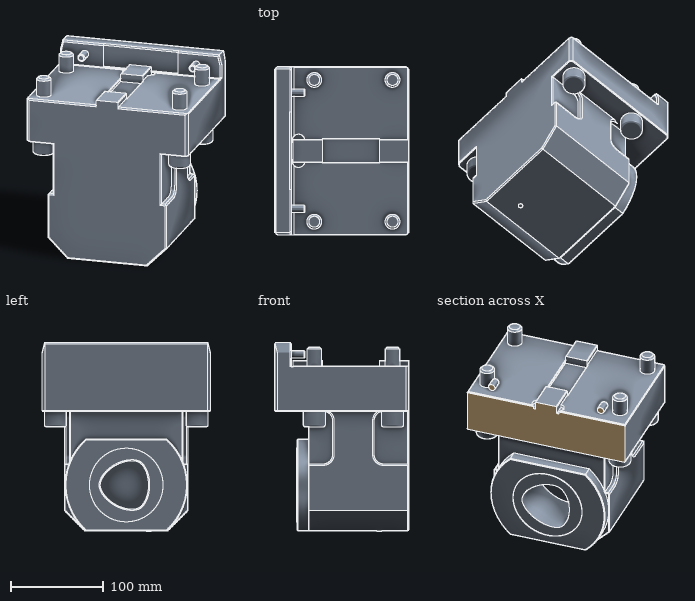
import cadquery as cq
import math

overall_height = 205.2

plate_length = 146.0
plate_width = 183.0
plate_bottom = 80.0
deck_height = 129.3
lip_top = 155.0
lip_thickness = 18.3
plate_corner_chamfer = 3.0
plate_edge_chamfer = 0.8
deck_end_chamfer = 1.6
lip_end_inset = 2.9
lip_end_drop = 11.5
lip_edge_chamfer = 1.6

relief_width = 3.0
relief_depth = 0.6

lip_recess_width = 84.5
lip_recess_depth = 1.5
lip_recess_chamfer = 0.8

key_width = 25.0
key_top = 135.0
key_length = 32.2
key_inner_edges = (52.1, 113.7)
key_chamfer = 0.6
slot_width = 25.5
slot_depth = 3.3
slot_chamfer = 0.6
corner_relief_radius = 6.8
corner_relief_x = 26.0
corner_relief_y = 11.3

screw_mid_x = 85.5
screw_spacing_x = 85.0
screw_spacing_y = 154.0
shank_diameter = 16.0
shank_top = 149.6
shank_chamfer = 2.0
head_diameter = 24.0
head_bottom = 63.0
head_fillet = 2.5
pin_diameter = 8.0
pin_spacing = 126.2
pin_height = 141.8
pin_end = 33.0
pin_chamfer = 1.0

housing_front = 36.7
housing_half_width = 67.1
housing_bottom = -49.9
housing_corner_chamfer = 22.0
housing_front_chamfer = 0.8
housing_rear_chamfer = 1.5
pocket_depth = 5.5
pocket_bottom = 23.0
pocket_radius = 10.0
pocket_gap = 45.2
pocket_chamfer = 1.6
pocket_chamfer_angle = 45
plug_diameter = 5.0
plug_x = 113.7
plug_y = -24.2
plug_bottom = lip_top - overall_height

flange_face = 24.6
flange_radius = 66.3
flange_edge_chamfer = 0.8
ring_face = 24.0
ring_diameter = 80.0
bore_mean_radius = 27.5
bore_lobe_height = 2.0
bore_depth = 49.3
bore_shrink = 1.2
bore_curve_points = 24

deck_mid_height = (plate_bottom + deck_height) / 2
screw_points = [
    (screw_mid_x + sx * screw_spacing_x / 2, sy * screw_spacing_y / 2)
    for sx in (-1, 1)
    for sy in (-1, 1)
]


def block(x_range, y_range, z_range):
    """Box spanning the given (low, high) limits on each axis."""
    lows = (x_range[0], y_range[0], z_range[0])
    sizes = [high - low for low, high in (x_range, y_range, z_range)]
    return cq.Workplane("XY").box(*sizes, centered=False).translate(lows)


def centred(width):
    """Limits of a span of this width about zero."""
    return (-width / 2, width / 2)


def cylinder_z(diameter, x, y, bottom, top):
    """Upright cylinder at (x, y)."""
    base = cq.Workplane("XY", origin=(x, y, bottom))
    return base.circle(diameter / 2).extrude(top - bottom)


def nearest_face(part, point):
    """The face of the part whose centre lies nearest to the point."""
    return part.faces(cq.selectors.NearestToPointSelector(point))


def make_plate():
    """L-shaped plate: a thick deck with a raised lip along its -X edge."""
    plate = block((0, plate_length), centred(plate_width), (plate_bottom, lip_top))
    plate = plate.edges("|Z").chamfer(plate_corner_chamfer)
    plate = plate.faces("<Z").edges().chamfer(plate_edge_chamfer)

    half_width = plate_width / 2
    for side in (-1, 1):
        bevel = (
            cq.Workplane("YZ")
            .moveTo(side * half_width, lip_top)
            .lineTo(side * (half_width - lip_end_inset), lip_top)
            .lineTo(side * half_width, lip_top - lip_end_drop)
            .close()
            .extrude(plate_length)
        )
        plate = plate.cut(bevel)

    plate = plate.cut(
        block((lip_thickness, plate_length), centred(plate_width), (deck_height, lip_top))
    )
    plate = plate.faces(">Z").edges("<X").chamfer(lip_edge_chamfer)

    lip_face = nearest_face(plate, (lip_thickness, 0, lip_top - lip_end_drop))
    plate = lip_face.edges("not <Z").chamfer(lip_edge_chamfer)

    deck_centre = (screw_mid_x, 0, deck_height)
    plate = nearest_face(plate, deck_centre).edges("|X").chamfer(plate_edge_chamfer)
    return nearest_face(plate, deck_centre).edges(">X").chamfer(deck_end_chamfer)


def cut_lip_reliefs(plate):
    """Shallow groove at the foot of the lip and recess in its inner face."""
    relief_floor = deck_height - relief_depth
    groove = block(
        (lip_thickness, lip_thickness + relief_width),
        centred(plate_width),
        (relief_floor, deck_height),
    )
    recess_face = lip_thickness - lip_recess_depth
    recess_profile = (
        cq.Workplane("XZ", origin=(0, lip_recess_width / 2, 0))
        .moveTo(lip_thickness, deck_height)
        .lineTo(recess_face, deck_height)
        .lineTo(recess_face, lip_top - lip_edge_chamfer)
        .lineTo(recess_face - lip_recess_chamfer, lip_top)
        .lineTo(lip_thickness, lip_top)
        .close()
        .extrude(lip_recess_width)
    )
    return plate.cut(groove).cut(recess_profile)


def add_keys(plate):
    """Two keys set in a shallow slot, with rounded reliefs at the lip end."""
    first_edge, second_edge = key_inner_edges
    slot_floor = deck_height - slot_depth
    slot = block(key_inner_edges, centred(slot_width), (slot_floor, deck_height))
    plate = plate.cut(slot)
    slot_edges = cq.selectors.BoxSelector(
        (first_edge, -slot_width, deck_height - slot_depth / 2),
        (second_edge, slot_width, deck_height + slot_depth / 2),
    )
    plate = plate.edges(slot_edges).edges("|X").chamfer(slot_chamfer)
    for side in (-1, 1):
        plate = plate.cut(
            cylinder_z(
                2 * corner_relief_radius,
                corner_relief_x,
                side * corner_relief_y,
                slot_floor,
                deck_height,
            )
        )
    key_bottom = slot_floor - slot_depth
    key_spans = (
        (first_edge - key_length, first_edge),
        (second_edge, plate_length),
    )
    for span in key_spans:
        key = block(span, centred(key_width), (key_bottom, key_top))
        plate = plate.union(key.faces(">Z").edges("|X").chamfer(key_chamfer))
    return plate


def make_screw(x, y):
    """Cap screw with its head under the plate and its shank above the deck."""
    shank = cylinder_z(shank_diameter, x, y, deck_mid_height, shank_top)
    head = cylinder_z(head_diameter, x, y, head_bottom, deck_mid_height)
    shank = shank.faces(">Z").chamfer(shank_chamfer)
    return shank.union(head.faces("<Z").edges().fillet(head_fillet))


def make_pin(y):
    """Locating pin standing out of the lip's inner face."""
    start = lip_thickness / 2
    base = cq.Workplane("YZ", origin=(start, y, pin_height))
    pin = base.circle(pin_diameter / 2).extrude(pin_end - start)
    return pin.faces(">X").chamfer(pin_chamfer)


def pocket_tool(x_range, side, depth, grow=0, taper=0):
    """Rounded cutter entering from one side; grow widens its outline at the surface."""
    low, high = x_range
    outline = (
        cq.Sketch()
        .rect(plate_bottom - pocket_bottom + 2 * grow, high - low + 2 * grow)
        .vertices()
        .fillet(pocket_radius + grow)
    )
    centre = ((low + high) / 2, -housing_half_width, (pocket_bottom + plate_bottom) / 2)
    tool = cq.Workplane("ZX", origin=centre).placeSketch(outline).extrude(depth, taper=taper)
    return tool if side < 0 else tool.mirror("XZ")


def make_housing():
    """Spindle housing with bevelled lower corners and screw-head pockets."""
    housing = block(
        (housing_front, plate_length),
        centred(2 * housing_half_width),
        (housing_bottom, deck_mid_height),
    )
    housing = housing.edges("|X and <Z").chamfer(housing_corner_chamfer)

    overrun = 2 * pocket_radius
    pocket_spans = (
        (housing_front - overrun, screw_mid_x - pocket_gap / 2),
        (screw_mid_x + pocket_gap / 2, plate_length + overrun),
    )
    for span in pocket_spans:
        for side in (-1, 1):
            housing = housing.cut(pocket_tool(span, side, pocket_depth))
    housing = housing.faces("<X").edges().chamfer(housing_front_chamfer)
    housing = housing.faces(">X").edges().chamfer(housing_rear_chamfer)

    for span in pocket_spans:
        for side in (-1, 1):
            bevel = pocket_tool(span, side, pocket_chamfer, pocket_chamfer, pocket_chamfer_angle)
            housing = housing.cut(bevel)
    plug = cylinder_z(plug_diameter, plug_x, plug_y, plug_bottom, 0)
    return housing.union(plug)


def make_flange():
    """Round spindle flange cut flat above and below, with a raised ring."""
    base = cq.Workplane("YZ", origin=(flange_face, 0, 0))
    flange = base.circle(flange_radius).extrude(housing_front - flange_face)
    flats = block(
        (flange_face, housing_front),
        centred(2 * flange_radius),
        (housing_bottom, -housing_bottom),
    )
    flange = flange.intersect(flats).faces("<X").chamfer(flange_edge_chamfer)
    ring = cq.Workplane("YZ", origin=(ring_face, 0, 0))
    ring = ring.circle(ring_diameter / 2).extrude(housing_front - ring_face)
    return flange.union(ring)


def polygon_point(angle, mean_radius):
    """Point on a three-lobed constant-width curve with one lobe towards +Y."""
    reach = mean_radius + bore_lobe_height * math.cos(3 * angle)
    slope = -3 * bore_lobe_height * math.sin(3 * angle)
    y = reach * math.cos(angle) - slope * math.sin(angle)
    z = reach * math.sin(angle) + slope * math.cos(angle)
    return (y, z)


def polygon_wire(plane, mean_radius):
    """Closed smooth outline of the three-lobed bore."""
    step = 2 * math.pi / bore_curve_points
    points = [polygon_point(i * step, mean_radius) for i in range(bore_curve_points)]
    return plane.spline(points, periodic=True).close()


def make_bore():
    """Tapered three-lobed bore, narrowing away from the ring face."""
    mouth = polygon_wire(cq.Workplane("YZ", origin=(ring_face, 0, 0)), bore_mean_radius)
    floor = mouth.workplane(offset=bore_depth)
    return polygon_wire(floor, bore_mean_radius - bore_shrink).loft(ruled=True)


result = add_keys(cut_lip_reliefs(make_plate()))
result = result.union(make_housing()).union(make_flange()).cut(make_bore())
for screw_x, screw_y in screw_points:
    result = result.union(make_screw(screw_x, screw_y))
for pin_y in centred(pin_spacing):
    result = result.union(make_pin(pin_y))